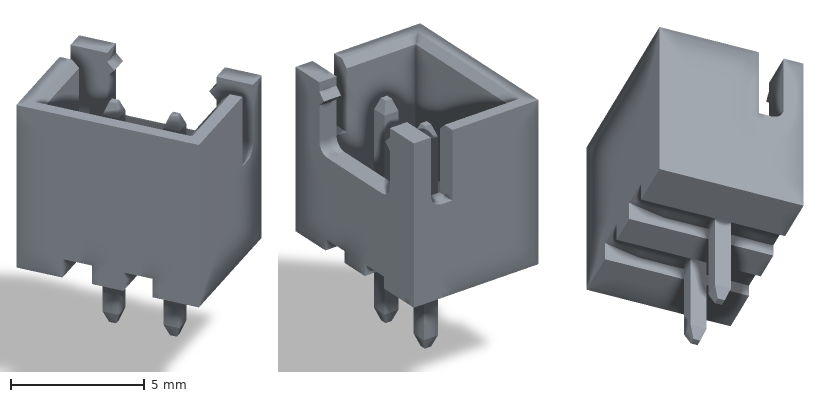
import cadquery as cq


WIDTH = 7.5
DEPTH = 5.81
HEIGHT = 7.0
OVERALL_HEIGHT = 10.5
WALL = 0.8
FLOOR = 1.5
RIM_CHAMFER = 0.29

OPENING_DEPTH = 3.0
OPENING_RADIUS = 0.5
SIDE_SLOT_WIDTH = 1.0
BACK_GAP_WIDTH = 4.47

BARB_REACH = 0.29
BARB_HEIGHT = 2 * BARB_REACH
BARB_TOP_DROP = 0.4

PIN_PITCH = 2.5
PIN_SIZE = 0.65
PIN_TIP_SIZE = 0.28
PIN_TAPER = 0.5
PIN_BELOW = OVERALL_HEIGHT - HEIGHT
PIN_TOP = 6.0
PIN_FROM_BACK = 2.39

CHANNEL_WIDTH = 1.21
CHANNEL_HEIGHT = 0.5
CHANNEL_MOUTH_HEIGHT = 0.8
CHANNEL_MOUTH_DEPTH = 1.4

FRONT_Y = -DEPTH / 2
BACK_Y = DEPTH / 2
BACK_WALL_Y = BACK_Y - WALL
OPENING_Z = HEIGHT - OPENING_DEPTH
PIN_Y = BACK_Y - PIN_FROM_BACK
PIN_XS = (-PIN_PITCH / 2, PIN_PITCH / 2)


def box_between(x0, x1, y0, y1, z0, z1):
    """Axis-aligned box between two opposite corners."""
    size = (x1 - x0, y1 - y0, z1 - z0)
    return cq.Workplane("XY").box(*size, centered=False).translate((x0, y0, z0))


def make_shell():
    """Open-topped box with a chamfer around the inner rim of the front and side walls."""
    shell = box_between(-WIDTH / 2, WIDTH / 2, FRONT_Y, BACK_Y, 0, HEIGHT)
    inner_x = WIDTH / 2 - WALL
    inner_front_y = FRONT_Y + WALL
    cavity = box_between(-inner_x, inner_x, inner_front_y, BACK_WALL_Y, FLOOR, HEIGHT)
    cavity_width = 2 * inner_x
    cavity_depth = BACK_WALL_Y - inner_front_y
    rim = (
        cq.Workplane("XY", origin=(0, (inner_front_y + BACK_WALL_Y) / 2, HEIGHT - RIM_CHAMFER))
        .rect(cavity_width, cavity_depth)
        .workplane(offset=RIM_CHAMFER)
        .center(0, -RIM_CHAMFER / 2)
        .rect(cavity_width + 2 * RIM_CHAMFER, cavity_depth + RIM_CHAMFER)
        .loft(ruled=True)
    )
    return shell.cut(cavity).cut(rim)


def make_side_slot():
    """Slot through both side walls, rounded at the bottom corner next to the back wall."""
    return (
        box_between(
            -WIDTH / 2, WIDTH / 2, BACK_WALL_Y - SIDE_SLOT_WIDTH, BACK_WALL_Y, OPENING_Z, HEIGHT
        )
        .edges("|X and >Y and <Z")
        .fillet(OPENING_RADIUS)
    )


def make_back_gap():
    """Wide gap through the back wall, rounded at both bottom corners."""
    half_gap = BACK_GAP_WIDTH / 2
    return (
        box_between(-half_gap, half_gap, BACK_WALL_Y, BACK_Y, OPENING_Z, HEIGHT)
        .edges("|Y and <Z")
        .fillet(OPENING_RADIUS)
    )


def make_barb(side):
    """Triangular barb on the inner face of one back post; side is -1 or 1."""
    root_x = side * BACK_GAP_WIDTH / 2
    top_z = HEIGHT - BARB_TOP_DROP
    return (
        cq.Workplane("XZ", origin=(0, BACK_Y, 0))
        .moveTo(root_x, top_z)
        .lineTo(root_x - side * BARB_REACH, top_z - BARB_HEIGHT / 2)
        .lineTo(root_x, top_z - BARB_HEIGHT)
        .close()
        .extrude(WALL)
    )


def make_channel(x):
    """Channel along Y under the floor, with a roof that rises toward its front mouth."""
    return (
        cq.Workplane("YZ", origin=(x - CHANNEL_WIDTH / 2, 0, 0))
        .moveTo(FRONT_Y, 0)
        .lineTo(BACK_Y, 0)
        .lineTo(BACK_Y, CHANNEL_HEIGHT)
        .lineTo(FRONT_Y + CHANNEL_MOUTH_DEPTH, CHANNEL_HEIGHT)
        .lineTo(FRONT_Y, CHANNEL_MOUTH_HEIGHT)
        .close()
        .extrude(CHANNEL_WIDTH)
    )


def make_pin(x):
    """Square pin with a tapered tip at each end."""
    shaft_bottom = PIN_TAPER - PIN_BELOW
    shaft_top = PIN_TOP - PIN_TAPER
    half = PIN_SIZE / 2
    pin = box_between(x - half, x + half, PIN_Y - half, PIN_Y + half, shaft_bottom, shaft_top)
    for start_z, direction in ((shaft_top, 1), (shaft_bottom, -1)):
        tip = (
            cq.Workplane("XY", origin=(x, PIN_Y, start_z))
            .rect(PIN_SIZE, PIN_SIZE)
            .workplane(offset=direction * PIN_TAPER)
            .rect(PIN_TIP_SIZE, PIN_TIP_SIZE)
            .loft(ruled=True)
        )
        pin = pin.union(tip)
    return pin


result = make_shell().cut(make_side_slot()).cut(make_back_gap())
for post_side in (-1, 1):
    result = result.union(make_barb(post_side))
for pin_x in PIN_XS:
    result = result.cut(make_channel(pin_x)).union(make_pin(pin_x))